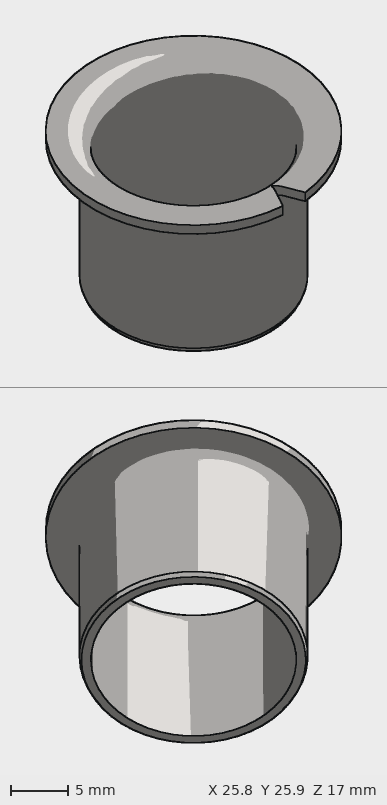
import cadquery as cq
import math

height = 17.0
flange_diameter = 25.92
tube_diameter = 20.0
wall = 1.0
outer_bend_radius = 1.0
chamfer_height = 0.5
chamfer_width = 0.18
notch_half_angle = 25.0

flange_radius = flange_diameter / 2
tube_radius = tube_diameter / 2
bore_radius = tube_radius - wall
inner_bend_radius = outer_bend_radius + wall
flange_bottom = height - wall


def arc_middle(center_x, center_z, radius):
    """Midpoint of the quarter arc that faces the bushing axis and the top."""
    offset = radius * math.sqrt(0.5)
    return (center_x - offset, center_z + offset)


def flanged_bushing():
    """Revolve the wall section about Z."""
    bend_x = tube_radius + outer_bend_radius
    bend_z = flange_bottom - outer_bend_radius
    section = (
        cq.Workplane("XZ")
        .moveTo(bore_radius, 0)
        .lineTo(tube_radius - chamfer_width, 0)
        .lineTo(tube_radius, chamfer_height)
        .lineTo(tube_radius, bend_z)
        .threePointArc(arc_middle(bend_x, bend_z, outer_bend_radius), (bend_x, flange_bottom))
        .lineTo(flange_radius, flange_bottom)
        .lineTo(flange_radius, height)
        .lineTo(bend_x, height)
        .threePointArc(arc_middle(bend_x, bend_z, inner_bend_radius), (bore_radius, bend_z))
        .close()
    )
    return section.revolve(360, (0, 0, 0), (0, 1, 0))


def flange_notch():
    """V-shaped cutter with its point on the tube's outer surface, opening toward +X."""
    notch_end = flange_diameter
    half_width = (notch_end - tube_radius) * math.tan(math.radians(notch_half_angle))
    return (
        cq.Workplane("XY")
        .moveTo(tube_radius, 0)
        .lineTo(notch_end, half_width)
        .lineTo(notch_end, -half_width)
        .close()
        .extrude(height)
    )


result = flanged_bushing().cut(flange_notch())